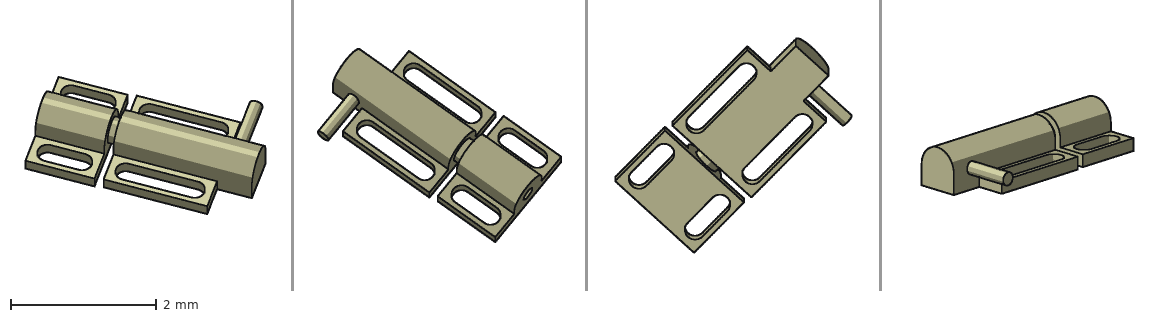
import cadquery as cq

total_length = 3.12
left_length = 0.998
gap = 0.122
right_start = left_length + gap
right_length = total_length - right_start
right_plate_length = 1.498

barrel_radius = 0.3105
axis_height = barrel_radius
plate_width = 1.498
plate_thickness = 0.187
plate_shift = 0.005
left_axis_y = 0.0
right_axis_y = 0.025

slot_width = 0.28
slot_offset = 0.53
slot_end_margin = 0.11

shaft_diameter = 0.378
shaft_y = right_axis_y
shaft_insertion = 0.155
bore_diameter = 0.2

pin_diameter = 0.19
pin_x = 2.76
pin_end_y = 1.025
pin_insertion = 0.155


def x_cylinder(diameter, start_x, length, center_y):
    """Solid cylinder along +X at the height of the barrel axis."""
    plane = cq.Workplane("YZ", origin=(start_x, center_y, axis_height))
    return plane.circle(diameter / 2).extrude(length)


def barrel(start_x, length, center_y):
    """Round-topped body with straight sides down to the base."""
    return (
        cq.Workplane("YZ", origin=(start_x, center_y, 0))
        .moveTo(-barrel_radius, 0)
        .lineTo(-barrel_radius, axis_height)
        .threePointArc((0, axis_height + barrel_radius), (barrel_radius, axis_height))
        .lineTo(barrel_radius, 0)
        .close()
        .extrude(length)
    )


def slotted_plate(start_x, length, center_y):
    """Flat plate with a lengthwise slot on each side."""
    center_x = start_x + length / 2
    plane = cq.Workplane("XY", origin=(center_x, center_y, 0))
    plate = plane.rect(length, plate_width).extrude(plate_thickness)
    slots = (
        plane.pushPoints([(0, -slot_offset), (0, slot_offset)])
        .slot2D(length - 2 * slot_end_margin, slot_width)
        .extrude(plate_thickness)
    )
    return plate.cut(slots)


def block(start_x, barrel_length, plate_length, axis_y):
    """Barrel and slotted plate as one solid."""
    plate = slotted_plate(start_x, plate_length, axis_y - plate_shift)
    return barrel(start_x, barrel_length, axis_y).union(plate)


def make_shaft():
    """Shaft across the gap, seated in a recess at each end."""
    return x_cylinder(shaft_diameter, left_length - shaft_insertion, gap + 2 * shaft_insertion, shaft_y)


def make_side_pin():
    """Round pin along Y, seated in the side of the right block."""
    start_y = right_axis_y + barrel_radius - pin_insertion
    plane = cq.Workplane("XZ", origin=(pin_x, start_y, axis_height))
    return plane.circle(pin_diameter / 2).extrude(start_y - pin_end_y)


shaft = make_shaft()
side_pin = make_side_pin()

left_bore = x_cylinder(bore_diameter, 0, left_length, left_axis_y)
left_block = block(0, left_length, left_length, left_axis_y).cut(left_bore).cut(shaft)

right_block = block(right_start, right_length, right_plate_length, right_axis_y).cut(shaft).cut(side_pin)

result = cq.Compound.makeCompound([left_block.val(), right_block.val(), shaft.val(), side_pin.val()])